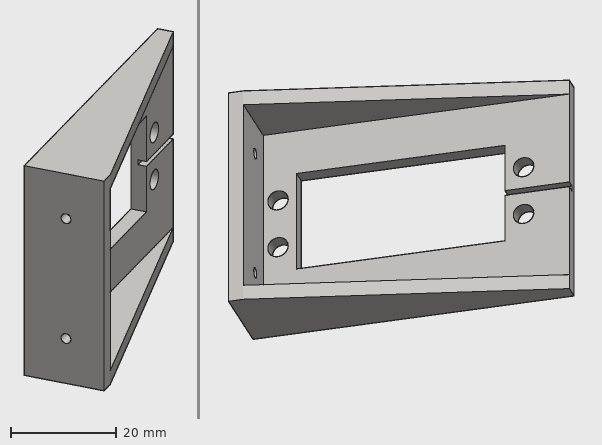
import cadquery as cq

depth = 16.5
length = 63.5
height = 44.45
wall = 3.0
plate = 3.25
tip_depth = plate
middle_z = height / 2

window_length = 41.2
window_height = 20.3
window_y = 30.15
mount_diameter = 4.0
mount_spacing_y = 48.6
mount_spacing_z = 10.0

end_hole_diameter = 2.05
end_hole_x = 8.65
end_hole_spacing = 25.4

groove_width = 1.0
groove_depth = 1.8


def wedge_body():
    outline = [(0, 0), (depth, 0), (depth, wall), (tip_depth, length), (0, length)]
    return cq.Workplane("XY").polyline(outline).close().extrude(height)


def cavity():
    """Space behind the plate, between the end wall and the two cheeks, open at the far end."""
    size = (depth, length, height - 2 * wall)
    return cq.Workplane("XY").box(*size, centered=False).translate((plate, wall, wall))


def window():
    size = (4 * plate, window_length, window_height)
    return cq.Workplane("XY").box(*size).translate((0, window_y, middle_z))


def mount_holes():
    return (
        cq.Workplane("YZ", origin=(0, window_y, middle_z))
        .rarray(mount_spacing_y, mount_spacing_z, 2, 2)
        .circle(mount_diameter / 2)
        .extrude(depth)
    )


def end_holes():
    return (
        cq.Workplane("XZ", origin=(end_hole_x, 0, middle_z))
        .rarray(0.65, end_hole_spacing, 1, 2)
        .circle(end_hole_diameter / 2)
        .extrude(-2 * wall)
    )


def cable_groove():
    """Rectangular groove from the window to the thin end of the plate."""
    return (
        cq.Workplane("XZ", origin=(plate, window_y, middle_z))
        .rect(2 * groove_depth, groove_width)
        .extrude(window_y - length)
    )


result = wedge_body()
for cutter in (cavity(), window(), mount_holes(), end_holes(), cable_groove()):
    result = result.cut(cutter)